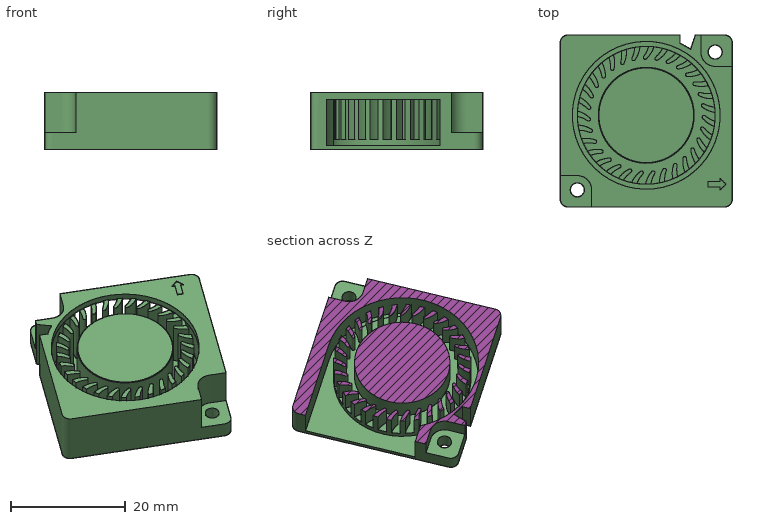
import cadquery as cq
import math

side = 30.0
half = side / 2
height = 10.0
corner_radius = 1.4
floor_thickness = 0.75
cover_thickness = 1.25
cover_underside = height - cover_thickness

axis_y = 1.0
inlet_diameter = 25.75
cavity_radius = 13.25
outlet_top_y = 7.5
outlet_bottom_y = axis_y - cavity_radius

pocket_size = 5.5
pocket_radius = 2.5
mount_thickness = 3.0
mount_hole_diameter = 2.4
mount_hole_offset = 12.0

notch_left_x = 5.9
notch_tip_x = 7.7
notch_right_x = 8.55
notch_floor_radius = 13.85

arrow_tail_x = 10.7
arrow_neck_x = 12.85
arrow_tip_x = 13.9
arrow_y = -11.0
arrow_shaft_half_width = 0.5
arrow_head_half_width = 1.02
arrow_depth = 0.12

impeller_radius = 12.0
disc_top = 1.75
impeller_recess = 0.12
impeller_top = height - impeller_recess
hub_diameter = 16.7
hub_chamfer = 0.105
blade_count = 31
first_blade_angle = 95.0

trim_allowance = 0.3
blade_untrimmed_radius = impeller_radius + trim_allowance
disc_untrimmed_radius = blade_untrimmed_radius + trim_allowance

leading_start = (blade_untrimmed_radius, 0)
leading_middle = (10.9, 2.1)
leading_end = (9.87, 6.3)
tip_middle = (9.85, 9.0)
trailing_end = (10.23, 9.1)
trailing_middle = (11.05, 6.3)
trailing_start = (blade_untrimmed_radius, 4.3)


def polar(radius, degrees):
    """Point at a radius and angle around the impeller axis."""
    angle = math.radians(degrees)
    return (radius * math.cos(angle), axis_y + radius * math.sin(angle))


def prism(outline, bottom, top):
    """Extrude a closed XY outline between two heights."""
    return outline.extrude(top - bottom).translate((0, 0, bottom))


def disc(radius, bottom, top):
    """Upright cylinder on the impeller axis."""
    return prism(cq.Workplane().center(0, axis_y).circle(radius), bottom, top)


def rectangle(x0, x1, y0, y1, bottom, top):
    """Block between two opposite corners."""
    outline = cq.Workplane().center((x0 + x1) / 2, (y0 + y1) / 2).rect(x1 - x0, y1 - y0)
    return prism(outline, bottom, top)


def air_passages():
    """Round inlet in the cover, impeller cavity and the outlet through the +X wall."""
    inlet = disc(inlet_diameter / 2, cover_underside, height)
    cavity = disc(cavity_radius, floor_thickness, cover_underside)
    outlet = rectangle(0, half, outlet_bottom_y, outlet_top_y, floor_thickness, cover_underside)
    return inlet.union(cavity).union(outlet)


def corner_pocket(sign):
    """Recess above a mounting corner: +1 for the (+X, +Y) corner, -1 for the opposite one."""
    center = sign * (half - pocket_size / 2)
    outline = cq.Workplane().center(center, center).rect(pocket_size, pocket_size)
    inner_edge = "<(1, 1, 0)" if sign > 0 else ">(1, 1, 0)"
    recess = prism(outline, mount_thickness, height)
    return recess.edges("|Z").edges(inner_edge).fillet(pocket_radius)


def notch_floor_y(x):
    """Y of the notch floor arc at a given X."""
    return axis_y + math.sqrt(notch_floor_radius**2 - x**2)


def cable_notch():
    """Full-height notch with one upright and one slanted flank."""
    middle_x = (notch_left_x + notch_tip_x) / 2
    outline = (
        cq.Workplane()
        .moveTo(notch_left_x, half)
        .lineTo(notch_left_x, notch_floor_y(notch_left_x))
        .threePointArc((middle_x, notch_floor_y(middle_x)), (notch_tip_x, notch_floor_y(notch_tip_x)))
        .lineTo(notch_right_x, half)
        .close()
    )
    return prism(outline, 0, height)


def flow_arrow():
    """Shallow arrow pointing along +X, towards the outlet."""
    upper_half = [
        (arrow_tail_x, arrow_shaft_half_width),
        (arrow_neck_x, arrow_shaft_half_width),
        (arrow_neck_x, arrow_head_half_width),
    ]
    lower_half = [(x, -y) for x, y in reversed(upper_half)]
    points = upper_half + [(arrow_tip_x, 0)] + lower_half
    outline = cq.Workplane().center(0, arrow_y).polyline(points).close()
    return prism(outline, height - arrow_depth, height)


def blade(start_angle):
    """Curved blade with a round inner tip, running out past the disc rim."""

    def place(point):
        radius, offset = point
        return polar(radius, start_angle + offset)

    outline = (
        cq.Workplane()
        .moveTo(*place(leading_start))
        .threePointArc(place(leading_middle), place(leading_end))
        .threePointArc(place(tip_middle), place(trailing_end))
        .threePointArc(place(trailing_middle), place(trailing_start))
        .close()
    )
    return prism(outline, disc_top, impeller_top)


def impeller():
    """Disc resting on the housing floor, with its hub and blades trimmed to one radius."""
    hub = disc(hub_diameter / 2, disc_top, impeller_top).faces(">Z").chamfer(hub_chamfer)
    blank = disc(disc_untrimmed_radius, floor_thickness, disc_top).union(hub)
    blades = [blade(first_blade_angle + index * 360 / blade_count).val() for index in range(blade_count)]
    rotor = blank.union(cq.Workplane().newObject([cq.Compound.makeCompound(blades)]))
    return rotor.intersect(disc(impeller_radius, floor_thickness, impeller_top))


def housing():
    """Square block with its passages, mounting corners, notch and arrow cut out."""
    body = cq.Workplane().rect(side, side).extrude(height).edges("|Z").fillet(corner_radius)
    body = body.cut(air_passages()).cut(cable_notch()).cut(flow_arrow())
    for sign in (1, -1):
        hole_center = sign * mount_hole_offset
        hole = cq.Workplane().center(hole_center, hole_center).circle(mount_hole_diameter / 2)
        body = body.cut(corner_pocket(sign)).cut(prism(hole, 0, mount_thickness))
    return body


result = housing().union(impeller())